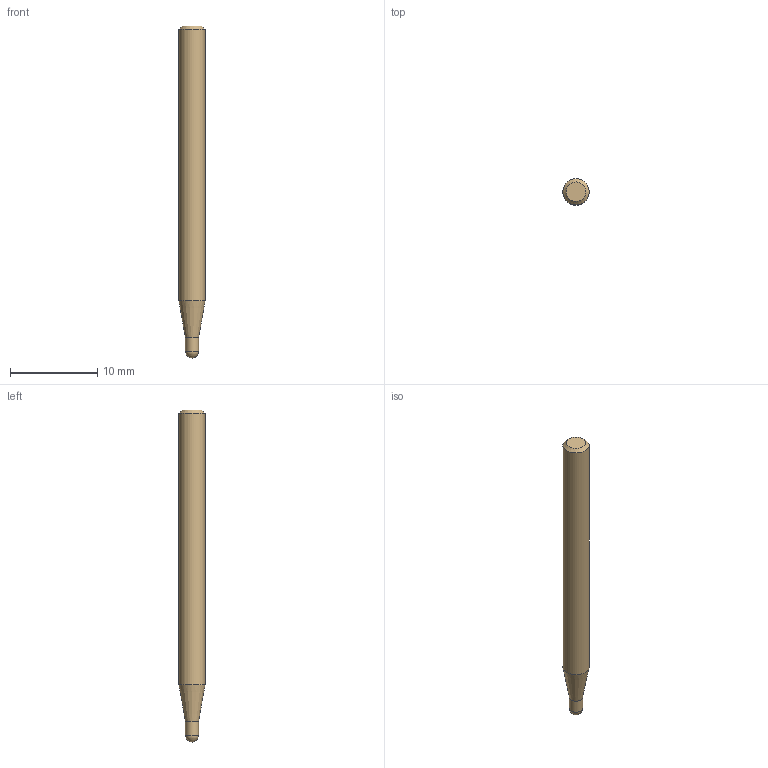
import cadquery as cq
import math

total_length = 38.0
shank_radius = 1.5

tip_radius = 0.75

neck_top = 2.3

taper_half_angle = 10.0
taper_length = (shank_radius - tip_radius) / math.tan(math.radians(taper_half_angle))
shank_bottom = neck_top + taper_length

end_chamfer = 0.38


def pin_profile():
    """Closed half-section in the XZ plane, with the Z axis as its straight inner side."""
    arc_offset = tip_radius * math.sin(math.radians(45))
    return (
        cq.Workplane("XZ")
        .moveTo(0, 0)
        .threePointArc((arc_offset, tip_radius - arc_offset), (tip_radius, tip_radius))
        .lineTo(tip_radius, neck_top)
        .lineTo(shank_radius, shank_bottom)
        .lineTo(shank_radius, total_length - end_chamfer)
        .lineTo(shank_radius - end_chamfer, total_length)
        .lineTo(0, total_length)
        .close()
    )


result = pin_profile().revolve(360, (0, 0), (0, 1))